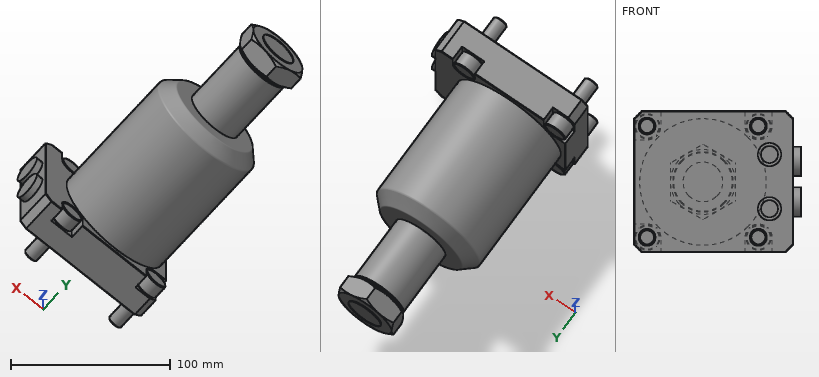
import cadquery as cq
import math


plate_left = 43.2
plate_right = 57.0
plate_height = 89.0
plate_thickness = 25.0
plate_corner_chamfer = 5.0
plate_edge_chamfer = 0.4

barrel_radius = 39.8
barrel_end = 121.2
barrel_chamfer = 8.1
barrel_edge_radius = 1.5
neck_radius = 19.0
neck_chamfer = 0.5
undercut_radius = 18.5
undercut_length = 1.5
hex_across_flats = 41.0
hex_length = 12.9
hex_crown_radius = 20.4
hex_crown_angle = 30
end_disc_radius = 12.5
end_disc_height = 0.5

boss_radius = 9.3
boss_length = 4.8
boss_spacing = 25.5

screw_pitch = 70.0
screw_radius = 5.0
screw_tip_chamfer = 0.5
screw_reach = 15.5
head_radius = 8.0
head_height = 10.3
head_chamfer = 0.5
clearance_hole_radius = 5.3
pocket_radius = 8.5

ring_x = 42.0
ring_spacing = 34.0
ring_section_radius = 1.0
ring_outer_radius = 7.3
ring_proud = 0.5

total_length = 198
disc_end = total_length - screw_reach
hex_end = disc_end - end_disc_height
hex_start = hex_end - hex_length
undercut_start = hex_start - undercut_length
pocket_floor = plate_thickness - head_height
screw_places = [(x, z) for x in (-screw_pitch / 2, screw_pitch / 2)
                for z in (-screw_pitch / 2, screw_pitch / 2)]
ring_places = [(ring_x, -ring_spacing / 2), (ring_x, ring_spacing / 2)]
ring_groove_depth = 2 * ring_section_radius - ring_proud


def rod(radius, start, end, x=0, z=0):
    """Cylinder along +Y from Y = start to Y = end."""
    base = cq.Vector(x, start, z)
    return cq.Workplane(cq.Solid.makeCylinder(radius, end - start, base, cq.Vector(0, 1, 0)))


def block(x_min, x_max, y_min, y_max, z_min, z_max):
    """Box between the given limits."""
    box = cq.Workplane().box(x_max - x_min, y_max - y_min, z_max - z_min, centered=False)
    return box.translate((x_min, y_min, z_min))


def turned(profile):
    """Solid of revolution about the Y axis from (radius, Y) points."""
    return cq.Workplane().polyline(profile).close().revolve(360, (0, 0), (0, 1))


def make_plate():
    half = plate_height / 2
    plate = block(-plate_left, plate_right, 0, plate_thickness, -half, half)
    plate = plate.edges("|Y").chamfer(plate_corner_chamfer)
    return plate.faces("<Y or >Y").edges().chamfer(plate_edge_chamfer)


def make_barrel():
    """Barrel with a chamfered end, both edges of the chamfer rounded."""
    barrel = rod(barrel_radius, 0, barrel_end).faces(">Y").chamfer(barrel_chamfer)
    chamfer_edges = cq.selectors.BoxSelector((-barrel_radius, plate_thickness, -barrel_radius),
                                             (barrel_radius, 2 * barrel_end, barrel_radius))
    return barrel.edges("%CIRCLE").edges(chamfer_edges).fillet(barrel_edge_radius)


def make_neck():
    """Neck with a short undercut below the hexagon."""
    neck = rod(neck_radius, 0, undercut_start).faces(">Y").chamfer(neck_chamfer)
    return neck.union(rod(undercut_radius, 0, hex_start))


def make_hexagon():
    """Hexagon with flats facing +X and -X, crowned on both ends, with a raised end disc."""
    corner_radius = hex_across_flats / 2 / math.cos(math.radians(30))
    drop = (corner_radius - hex_crown_radius) * math.tan(math.radians(hex_crown_angle))
    prism = (cq.Workplane("XZ", origin=(0, hex_end, 0))
             .transformed(rotate=(0, 0, 30))
             .polygon(6, 2 * corner_radius)
             .extrude(hex_length))
    crown = turned([
        (0, hex_start),
        (hex_crown_radius, hex_start),
        (corner_radius, hex_start + drop),
        (corner_radius, hex_end - drop),
        (hex_crown_radius, hex_end),
        (0, hex_end),
    ])
    return prism.intersect(crown).union(rod(end_disc_radius, hex_start, disc_end))


def make_bosses():
    return (cq.Workplane("YZ", origin=(plate_right, plate_thickness / 2, 0))
            .pushPoints([(0, -boss_spacing / 2), (0, boss_spacing / 2)])
            .circle(boss_radius)
            .extrude(boss_length))


def make_screw_seat(x, z):
    """Clearance hole and head pocket, the pocket open to the nearby plate sides."""
    seat = rod(clearance_hole_radius, 0, plate_thickness, x, z)
    seat = seat.union(rod(pocket_radius, pocket_floor, plate_thickness, x, z))
    z_far = math.copysign(plate_height, z)
    seat = seat.union(block(x - pocket_radius, x + pocket_radius, pocket_floor, plate_thickness,
                            min(z, z_far), max(z, z_far)))
    if x < 0:
        seat = seat.union(block(-2 * plate_left, x, pocket_floor, plate_thickness,
                                z - pocket_radius, z + pocket_radius))
    return seat


def make_ring_groove(x, z):
    """Annular groove as wide as the sealing ring."""
    inner_radius = ring_outer_radius - 2 * ring_section_radius
    core = rod(inner_radius, 0, ring_groove_depth, x, z)
    return rod(ring_outer_radius, 0, ring_groove_depth, x, z).cut(core)


def make_housing():
    housing = make_plate()
    for x, z in screw_places:
        housing = housing.cut(make_screw_seat(x, z))
    for feature in (make_barrel(), make_neck(), make_hexagon(), make_bosses()):
        housing = housing.union(feature)
    for x, z in ring_places:
        housing = housing.cut(make_ring_groove(x, z))
    return housing


def make_screw(x, z):
    shank = rod(screw_radius, -screw_reach, pocket_floor, x, z).faces("<Y").chamfer(screw_tip_chamfer)
    head = rod(head_radius, pocket_floor, plate_thickness, x, z)
    head = head.faces("<Y or >Y").chamfer(head_chamfer)
    return shank.union(head)


def make_ring(x, z):
    centre = cq.Vector(x, ring_section_radius - ring_proud, z)
    return cq.Solid.makeTorus(ring_outer_radius - ring_section_radius, ring_section_radius,
                              centre, cq.Vector(0, 1, 0))


housing = make_housing()
screws = [make_screw(x, z).val() for x, z in screw_places]
rings = [make_ring(x, z) for x, z in ring_places]

result = cq.Compound.makeCompound([housing.val(), *screws, *rings])